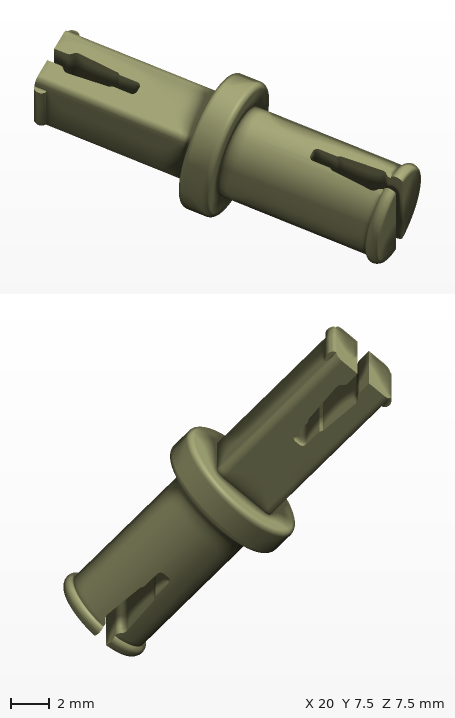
import cadquery as cq

length = 19.98
half_length = length / 2
collar_start = 9.07 - half_length
collar_width = 1.72
collar_middle = collar_start + collar_width / 2
collar_diameter = 7.5
collar_fillet = 0.3

square_side = 3.78
square_corner_radius = 0.44
round_diameter = 4.95

bead_width = 0.68
bead_shoulder = 0.1
bead_height = 0.28
bead_nose_width = 0.15
bead_nose_height = 0.22

slot_half_width = 0.4
slot_wide_half_width = 0.7
slot_taper_half_width = 0.5
slot_flare_start = 0.88
slot_flare_end = 1.14
slot_taper_end = 3.6
slot_neck_start = 3.78
slot_depth = 5.01
slot_end_radius = 0.25
slot_flare_radius = 0.34


def bead_profile(tip_x, direction, base, root):
    """Crowned bead section with a rounded nose; base is the shank surface, root the closing line inside it."""
    inner_x = tip_x + direction * bead_width
    middle_x = tip_x + direction * bead_width / 2
    nose_x = tip_x + direction * bead_nose_width
    shoulder = base + bead_shoulder
    return (
        cq.Workplane("XY")
        .moveTo(tip_x, root)
        .lineTo(tip_x, base)
        .tangentArcPoint((nose_x, base + bead_nose_height), relative=False)
        .threePointArc((middle_x, base + bead_height), (inner_x, shoulder))
        .lineTo(inner_x, root)
        .close()
    )


def make_collar():
    return (
        cq.Workplane("YZ", origin=(collar_start, 0, 0))
        .circle(collar_diameter / 2)
        .extrude(collar_width)
        .edges()
        .fillet(collar_fillet)
    )


def make_square_shank():
    shank = (
        cq.Workplane("YZ", origin=(-half_length, 0, 0))
        .rect(square_side, square_side)
        .extrude(half_length + collar_middle)
        .edges("|X")
        .fillet(square_corner_radius)
    )
    bead_length = square_side - 2 * square_corner_radius
    bead_root = square_side / 2 - bead_height
    bead = bead_profile(-half_length, 1, square_side / 2, bead_root).extrude(bead_length / 2, both=True)
    return shank.union(bead).union(bead.mirror("XZ"))


def make_round_shank():
    radius = round_diameter / 2
    shank = (
        cq.Workplane("YZ", origin=(collar_middle, 0, 0))
        .circle(radius)
        .extrude(half_length - collar_middle)
    )
    bead = bead_profile(half_length, -1, radius, 0).revolve(360, (0, 0, 0), (1, 0, 0))
    return shank.union(bead)


def make_slot():
    """Slot open at the -X tip, flared behind its mouth and cut through the full height."""
    upper_side = [
        (0, slot_half_width),
        (slot_flare_start, slot_half_width),
        (slot_flare_end, slot_wide_half_width),
        (slot_taper_end, slot_taper_half_width),
        (slot_neck_start, slot_half_width),
        (slot_depth, slot_half_width),
    ]
    lower_side = [(x, -y) for x, y in reversed(upper_side)]
    flare_zone = cq.selectors.BoxSelector(
        (-half_length + slot_flare_start / 2, -collar_diameter, -collar_diameter),
        (-half_length + slot_taper_end / 2, collar_diameter, collar_diameter),
    )
    return (
        cq.Workplane("XY", origin=(-half_length, 0, 0))
        .polyline(upper_side + lower_side)
        .close()
        .extrude(collar_diameter / 2, both=True)
        .edges("|Z and >X")
        .fillet(slot_end_radius)
        .edges("|Z")
        .edges(flare_zone)
        .fillet(slot_flare_radius)
    )


slot = make_slot()
body = make_collar().union(make_square_shank()).union(make_round_shank())
result = body.cut(slot).cut(slot.mirror("YZ"))